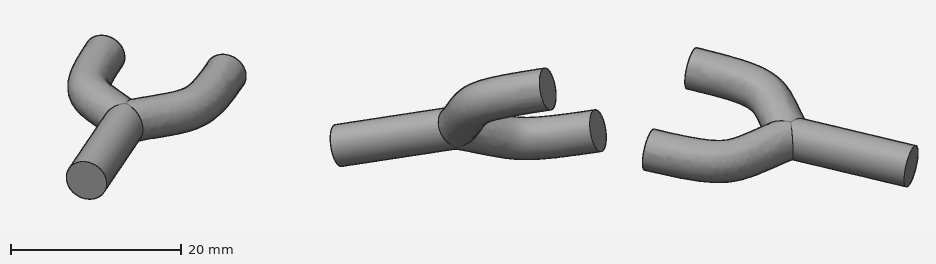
import cadquery as cq


bar_diameter = 5.0
overall_width = 20.0
overall_length = 30.0
stem_length = 15.0

root_handle_out = 6.3
root_handle_forward = 5.45
tip_handle_length = 11.2

bar_radius = bar_diameter / 2
tip_offset = overall_width / 2 - bar_radius


def make_stem():
    """Straight bar along +Y from the free end at Y = 0 to the fork."""
    return cq.Workplane("XZ").circle(bar_radius).extrude(-stem_length)


def make_arm(side):
    """Curved bar from the fork to its tip; side is +1 for +X and -1 for -X."""
    fork = cq.Vector(0, stem_length, 0)
    root_direction = cq.Vector(side * root_handle_out, root_handle_forward, 0)
    tip = cq.Vector(side * tip_offset, overall_length, 0)
    tip_handle = tip - cq.Vector(0, tip_handle_length, 0)

    centerline = cq.Workplane("XY").bezier([fork, fork + root_direction, tip_handle, tip])
    root_plane = cq.Plane(origin=fork, xDir=(0, 0, 1), normal=root_direction)
    return cq.Workplane(root_plane).circle(bar_radius).sweep(centerline)


result = make_stem()
for side in (-1, 1):
    result = result.union(make_arm(side))